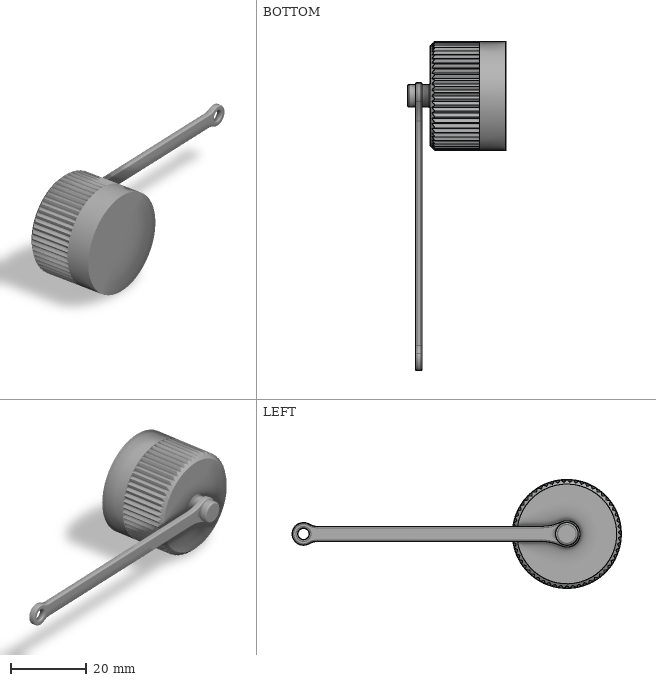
import cadquery as cq
import math

cap_diameter = 29.0
cap_length = 20.1
knurl_length = 13.1
face_chamfer = 1.2
groove_count = 55
groove_depth = 0.74
groove_pitch = 360 / groove_count
groove_start_angle = 90 + groove_pitch / 2

pin_diameter = 6.0
pin_length = 6.0
pin_tip_round = 0.5
pin_root_round = 0.4

strap_length = 70.0
strap_width = 4.0
strap_thickness = 1.75
strap_center_x = -3.1
strap_edge_round = 0.39
pin_eye_diameter = 7.0
pin_eye_blend_radius = 12.25
end_eye_diameter = 6.0
end_eye_blend_radius = 4.2
end_hole_diameter = 3.0
end_hole_edge_round = 0.48

cap_radius = cap_diameter / 2
strap_half_width = strap_width / 2


def knurled_cap():
    """Chamfered cylinder with V grooves that meet in sharp teeth and stop at the collar."""
    cap = cq.Workplane("YZ").circle(cap_radius).extrude(cap_length)
    cap = cap.faces("<X").chamfer(face_chamfer)

    half_mouth = cap_radius * math.tan(math.radians(groove_pitch / 2))
    groove = (
        cq.Workplane("YZ")
        .polyline([
            (cap_radius - groove_depth, 0),
            (cap_radius, half_mouth),
            (cap_radius, -half_mouth),
        ])
        .close()
        .extrude(knurl_length)
        .val()
    )
    axis_start = cq.Vector(0, 0, 0)
    axis_end = cq.Vector(1, 0, 0)
    grooves = [
        groove.rotate(axis_start, axis_end, groove_start_angle + index * groove_pitch)
        for index in range(groove_count)
    ]
    return cap.cut(cq.Compound.makeCompound(grooves))


def pin():
    """Pin with a rounded tip and a concave fillet where it meets the cap face."""
    pin_radius = pin_diameter / 2
    return (
        cq.Workplane("XY")
        .lineTo(-pin_length, 0)
        .lineTo(-pin_length, pin_radius - pin_tip_round)
        .radiusArc((-pin_length + pin_tip_round, pin_radius), pin_tip_round)
        .lineTo(-pin_root_round, pin_radius)
        .radiusArc((0, pin_radius + pin_root_round), -pin_root_round)
        .close()
        .revolve(360, (0, 0, 0), (1, 0, 0))
    )


def eye_blend(eye_radius, blend_radius):
    """Points of the concave arc joining an eye to the strap edge.

    Measured from the eye center along the strap: the tangent point on the eye,
    the middle of the arc and the tangent point on the strap edge.
    """
    reach = eye_radius + blend_radius
    center_v = strap_half_width + blend_radius
    center_u = math.sqrt(reach**2 - center_v**2)
    on_eye = (center_u * eye_radius / reach, center_v * eye_radius / reach)
    middle_angle = (math.atan2(-center_v, -center_u) - math.pi / 2) / 2
    middle = (
        center_u + blend_radius * math.cos(middle_angle),
        center_v + blend_radius * math.sin(middle_angle),
    )
    on_edge = (center_u, strap_half_width)
    return on_eye, middle, on_edge


def strap():
    """Flat strap with an eye at each end, blended by arcs and rounded all round."""
    pin_eye_radius = pin_eye_diameter / 2
    end_eye_radius = end_eye_diameter / 2
    near = eye_blend(pin_eye_radius, pin_eye_blend_radius)
    far = [(strap_length - u, v) for u, v in eye_blend(end_eye_radius, end_eye_blend_radius)]

    def mirrored(point):
        return (point[0], -point[1])

    near_eye, near_middle, near_edge = near
    far_eye, far_middle, far_edge = far
    body = (
        cq.Workplane("YZ", origin=(strap_center_x - strap_thickness / 2, 0, 0))
        .moveTo(*near_eye)
        .threePointArc(near_middle, near_edge)
        .lineTo(*far_edge)
        .threePointArc(far_middle, far_eye)
        .threePointArc((strap_length + end_eye_radius, 0), mirrored(far_eye))
        .threePointArc(mirrored(far_middle), mirrored(far_edge))
        .lineTo(*mirrored(near_edge))
        .threePointArc(mirrored(near_middle), mirrored(near_eye))
        .threePointArc((-pin_eye_radius, 0), near_eye)
        .close()
        .extrude(strap_thickness)
        .faces("<X or >X")
        .edges()
        .fillet(strap_edge_round)
    )
    hole = (
        cq.Workplane("YZ", origin=(strap_center_x, strap_length, 0))
        .circle(end_hole_diameter / 2)
        .extrude(strap_thickness, both=True)
    )
    drilled = body.cut(hole)
    hole_rims = [
        edge
        for face in drilled.faces("<X or >X").vals()
        for rim in face.innerWires()
        for edge in rim.Edges()
    ]
    return drilled.newObject(hole_rims).fillet(end_hole_edge_round)


result = knurled_cap().union(pin()).union(strap())